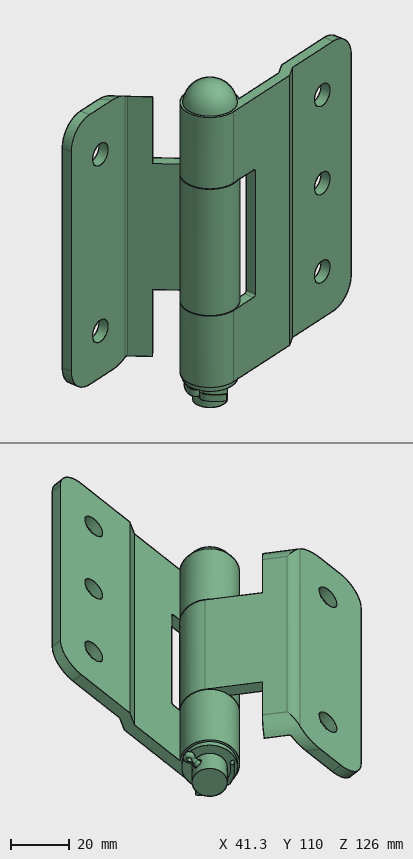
import cadquery as cq
import math


leaf_height = 107.0
sheet = 4.0
corner_radius = 10.0
screw_diameter = 8.5
screw_edge_distance = 16.0
screw_pitch = 35.0
barrel_radius = 10.25
bore_radius = barrel_radius - sheet
middle_knuckle_height = 50.0
knuckle_clearance = 0.25

stepped_leaf_end = 68.0
step_offset = 2.5
step_angle = 28.0
step_start = 29.9
knuckle_gap_depth = 12.0
knuckle_gap_corner = 1.0

cranked_leaf_end = -42.0
cranked_leaf_face = -31.05
crank_angle = 36.0
crank_inner_bend = 1.0
tongue_length = 19.8

pin_radius = 6.0
dome_radius = 9.4
dome_height = 8.5
pin_tail = 10.5
washer_radius = 9.5
washer_thickness = 2.0

wire_radius = 1.3
cotter_hole_diameter = 3.4
cotter_drop = 5.5
cotter_tip = 12.0
eye_inner_radius = 0.8
neck_radius = 3.5
fold_radius = 2.35
fold_tip = -7.3
fold_angle = 109.0
leg_radius = 12.0
leg_angle = 37.5

half_height = leaf_height / 2
half_tongue = middle_knuckle_height / 2
half_gap = half_tongue + knuckle_clearance
cotter_z = -half_height - cotter_drop


def upright_prism(points, height):
    """Extrude a plan outline to a height centred on z = 0."""
    return cq.Workplane("XY").polyline(points).close().extrude(height / 2, both=True)


def barrel(height):
    return cq.Workplane("XY").circle(barrel_radius).extrude(height / 2, both=True)


def centred_bore(height):
    return cq.Workplane("XY").circle(bore_radius).extrude(height, both=True)


def screw_holes(y, heights):
    """Holes along X through a leaf at one y."""
    points = [(y, z) for z in heights]
    reach = 2 * abs(cranked_leaf_face)
    return cq.Workplane("YZ").pushPoints(points).circle(screw_diameter / 2).extrude(reach, both=True)


def make_stepped_leaf():
    outer_x = barrel_radius
    inner_x = barrel_radius - sheet
    step_length = step_offset / math.tan(math.radians(step_angle))
    mitre = sheet * math.tan(math.radians(step_angle / 2))
    plate = upright_prism(
        [
            (outer_x, 0),
            (outer_x, step_start + mitre),
            (outer_x - step_offset, step_start + mitre + step_length),
            (outer_x - step_offset, stepped_leaf_end),
            (inner_x - step_offset, stepped_leaf_end),
            (inner_x - step_offset, step_start + step_length),
            (inner_x, step_start),
            (inner_x, 0),
        ],
        leaf_height,
    )
    plate = plate.faces(">Y").edges("|X").fillet(corner_radius)

    gap_start = -2 * barrel_radius
    gap = (
        cq.Workplane("XY")
        .box(4 * barrel_radius, knuckle_gap_depth - gap_start, 2 * half_gap)
        .translate((0, (knuckle_gap_depth + gap_start) / 2, 0))
        .faces(">Y").edges("|X").fillet(knuckle_gap_corner)
    )
    holes = screw_holes(stepped_leaf_end - screw_edge_distance, [-screw_pitch, 0, screw_pitch])
    return plate.union(barrel(leaf_height)).cut(centred_bore(leaf_height)).cut(gap).cut(holes)


def make_cranked_leaf():
    angle = math.radians(crank_angle)
    along = cq.Vector(-math.cos(angle), -math.sin(angle))
    outward = cq.Vector(-math.sin(angle), math.cos(angle))
    tangent_point = outward * barrel_radius
    outer_x = cranked_leaf_face
    inner_x = outer_x + sheet

    def crank_y(distance, x):
        """Y where a line parallel to the crank, at a distance from the pin axis, meets x."""
        return (distance - outward.x * x) / outward.y

    centre_x = inner_x + crank_inner_bend
    bend_centre = cq.Vector(centre_x, crank_y(bore_radius - crank_inner_bend, centre_x))
    bend_middle_direction = (outward - cq.Vector(1, 0)).normalized()
    outer_bend = crank_inner_bend + sheet
    outer_bend_end = bend_centre + outward * outer_bend
    outer_bend_middle = bend_centre + bend_middle_direction * outer_bend
    inner_bend_end = bend_centre + outward * crank_inner_bend
    inner_bend_middle = bend_centre + bend_middle_direction * crank_inner_bend
    inner_root = outward * bore_radius

    plate = (
        cq.Workplane("XY")
        .moveTo(tangent_point.x, tangent_point.y)
        .lineTo(outer_bend_end.x, outer_bend_end.y)
        .threePointArc((outer_bend_middle.x, outer_bend_middle.y), (outer_x, bend_centre.y))
        .lineTo(outer_x, cranked_leaf_end)
        .lineTo(inner_x, cranked_leaf_end)
        .lineTo(inner_x, bend_centre.y)
        .threePointArc((inner_bend_middle.x, inner_bend_middle.y), (inner_bend_end.x, inner_bend_end.y))
        .lineTo(inner_root.x, inner_root.y)
        .close()
        .extrude(half_height, both=True)
    )
    plate = plate.faces("<Y").edges("|X").fillet(corner_radius)

    crank_plane = cq.Plane(origin=tangent_point, xDir=along, normal=(0, 0, -1))
    crank_reach = 2 * abs(cranked_leaf_face)

    side_height = half_height - half_tongue
    for side in (-1, 1):
        notch = (
            cq.Workplane(crank_plane)
            .center(tongue_length - crank_reach / 2, 0)
            .rect(crank_reach, 2 * barrel_radius + 2 * sheet)
            .extrude(side_height / 2, both=True)
            .translate((0, 0, side * (half_tongue + side_height / 2)))
        )
        plate = plate.cut(notch)

    profile_plane = cq.Plane(origin=tangent_point, xDir=outward, normal=along * -1)
    arc_middle = corner_radius * math.sqrt(0.5)
    for side in (-1, 1):
        edge_z = side * half_height
        arc_z = side * (half_height - corner_radius)
        rounding = (
            cq.Workplane(profile_plane)
            .moveTo(-corner_radius, edge_z)
            .threePointArc(
                (arc_middle - corner_radius, arc_z + side * arc_middle),
                (0, arc_z),
            )
            .lineTo(0, edge_z)
            .close()
            .extrude(-crank_reach)
        )
        plate = plate.cut(rounding)

    holes = screw_holes(cranked_leaf_end + screw_edge_distance, [-screw_pitch, screw_pitch])
    return plate.union(barrel(middle_knuckle_height)).cut(centred_bore(leaf_height)).cut(holes)


def make_pin():
    shank = (
        cq.Workplane("XY", origin=(0, 0, -half_height - pin_tail))
        .circle(pin_radius)
        .extrude(leaf_height + pin_tail)
    )
    ball_centre = half_height + dome_height - dome_radius
    below_head = (
        cq.Workplane("XY", origin=(0, 0, half_height))
        .circle(2 * dome_radius)
        .extrude(-2 * dome_radius)
    )
    dome = cq.Workplane("XY").sphere(dome_radius).translate((0, 0, ball_centre)).cut(below_head)
    cotter_hole = (
        cq.Workplane("XZ", origin=(0, 0, cotter_z))
        .circle(cotter_hole_diameter / 2)
        .extrude(2 * pin_radius, both=True)
    )
    return shank.union(dome).cut(cotter_hole)


def make_washer():
    return (
        cq.Workplane("XY", origin=(0, 0, -half_height))
        .circle(washer_radius)
        .circle(pin_radius)
        .extrude(-washer_thickness)
    )


def half_round(flat_x, bulge):
    """Half-round wire section in the XZ plane with its flat at flat_x, bulging to -X (-1) or +X (1)."""
    return (
        cq.Workplane("XZ")
        .moveTo(flat_x, -wire_radius)
        .threePointArc((flat_x + bulge * wire_radius, 0), (flat_x, wire_radius))
        .close()
    )


def wire_bend(centre, flat_radius, bulge, start_angle, sweep):
    """Wire curved in plan about a centre, from a start angle in degrees."""
    return (
        half_round(flat_radius, bulge)
        .revolve(sweep, (0, 0, 0), (0, 1, 0))
        .rotate((0, 0, 0), (0, 0, 1), start_angle)
        .translate((centre[0], centre[1], 0))
    )


def make_cotter():
    eye_y = cotter_tip - wire_radius - eye_inner_radius
    centre_distance = neck_radius + eye_inner_radius
    neck_y = eye_y - math.sqrt(centre_distance**2 - neck_radius**2)
    neck_sweep = math.degrees(math.acos(neck_radius / centre_distance))
    eye = wire_bend((0, eye_y), eye_inner_radius, 1, 90, 90 + neck_sweep)
    neck = wire_bend((-neck_radius, neck_y), neck_radius, -1, 0, neck_sweep)
    fold_y = fold_tip + fold_radius
    straight = half_round(0, -1).extrude(neck_y - fold_y).translate((0, neck_y, 0))

    fold_centre = (-fold_radius, fold_y)
    fold = wire_bend(fold_centre, fold_radius, -1, -fold_angle, fold_angle)
    centre_shift = leg_radius - fold_radius
    fold_end = math.radians(fold_angle)
    leg_centre = (
        fold_centre[0] - centre_shift * math.cos(fold_end),
        fold_centre[1] + centre_shift * math.sin(fold_end),
    )
    leg = wire_bend(leg_centre, leg_radius, -1, -fold_angle - leg_angle, leg_angle)

    left_half = eye.union(neck).union(straight).union(fold).union(leg)
    return left_half.union(left_half.mirror("YZ")).translate((0, 0, cotter_z))


stepped_leaf = make_stepped_leaf()
cranked_leaf = make_cranked_leaf()
pin = make_pin()
washer = make_washer()
cotter = make_cotter()

result = cq.Compound.makeCompound(
    [
        stepped_leaf.solids().val(),
        cranked_leaf.solids().val(),
        pin.solids().val(),
        washer.val(),
        cotter.solids().val(),
    ]
)